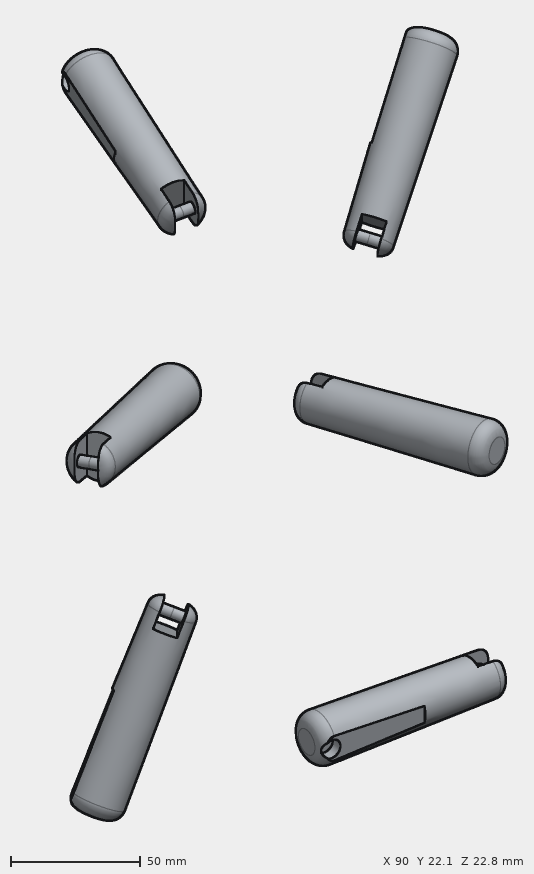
import cadquery as cq

length = 90.0
large_radius = 11.4
large_round = 5.9
small_radius = 10.1
small_round = 5.0

flat_distance = 10.0
flat_length = 48.9

hole_diameter = 8.1
hole_x = 4.9
hole_depth = 5.0

slot_width = 10.0
slot_start = 77.9
pin_diameter = 5.0
pin_x = length - small_round

cutter_size = 4 * large_radius


def tapered_body():
    """Revolve the cone with its two rounded ends about the X axis."""
    diagonal = 0.5 ** 0.5
    taper_end = length - small_round
    large_flat = large_radius - large_round
    small_flat = small_radius - small_round
    large_mid = (large_round * (1 - diagonal), large_flat + large_round * diagonal)
    small_mid = (taper_end + small_round * diagonal, small_flat + small_round * diagonal)
    return (
        cq.Workplane("XY")
        .lineTo(0, large_flat)
        .threePointArc(large_mid, (large_round, large_radius))
        .lineTo(taper_end, small_radius)
        .threePointArc(small_mid, (length, small_flat))
        .lineTo(length, 0)
        .close()
        .revolve(360, (0, 0, 0), (1, 0, 0))
    )


def flat_cutter():
    """Block lying outside the thumb flat."""
    return (
        cq.Workplane("XY")
        .box(flat_length, cutter_size, cutter_size, centered=(False, False, True))
        .translate((0, -flat_distance - cutter_size, 0))
    )


def hole_cutter():
    """Cylinder running inward (+Y) from the thumb flat."""
    return (
        cq.Workplane("XZ", origin=(hole_x, -flat_distance, 0))
        .circle(hole_diameter / 2)
        .extrude(-hole_depth)
    )


def slot_cutter():
    """Block that splits the small end into two prongs."""
    return (
        cq.Workplane("XY")
        .box(length - slot_start, slot_width, cutter_size, centered=(False, True, True))
        .translate((slot_start, 0, 0))
    )


def cross_pin():
    """Pin across the slot, its ends embedded halfway into the prongs."""
    prong_thickness = small_radius - slot_width / 2
    pin_length = slot_width + prong_thickness
    return (
        cq.Workplane("XZ", origin=(pin_x, 0, 0))
        .circle(pin_diameter / 2)
        .extrude(pin_length / 2, both=True)
    )


handle = tapered_body().cut(flat_cutter()).cut(hole_cutter()).cut(slot_cutter())
result = handle.union(cross_pin())